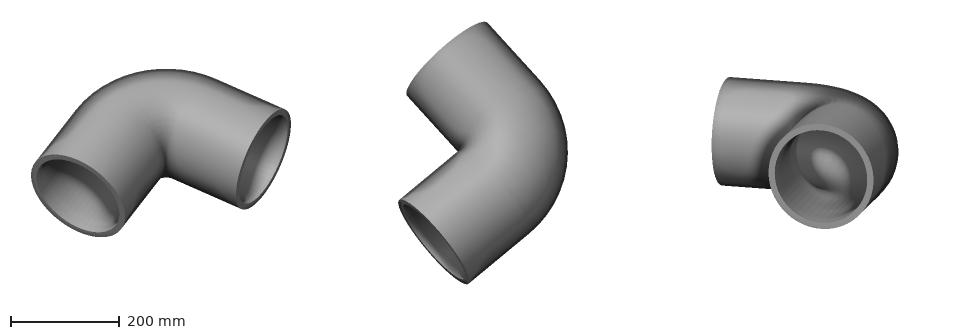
import cadquery as cq
import math

overall_length = 349.0
outer_diameter = 200.0
bore_diameter = 176.2
leg_length = 147.3

bend_radius = overall_length - leg_length - outer_diameter / 2
bend_middle = bend_radius * math.sqrt(0.5)

centreline = (
    cq.Workplane("XY")
    .moveTo(-bend_radius, -leg_length)
    .lineTo(-bend_radius, 0)
    .threePointArc((-bend_middle, bend_middle), (0, bend_radius))
    .lineTo(leg_length, bend_radius)
)

result = (
    cq.Workplane("XZ", origin=(-bend_radius, -leg_length, 0))
    .circle(outer_diameter / 2)
    .circle(bore_diameter / 2)
    .sweep(centreline)
)